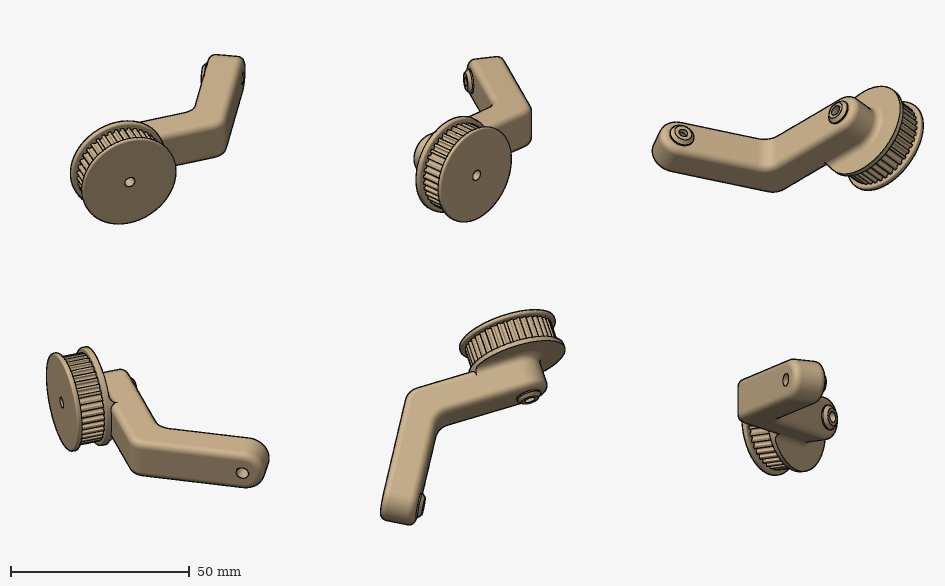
import cadquery as cq
import math

ARM_WIDTH = 12.0
ARM_THICKNESS = 10.0
EDGE_RADIUS = 2.0
BEND_RADIUS = 5.0
BEND_ANGLE = 60
LOWER_LEG = 26.5
UPPER_LEG = 25.5

BOSS_DIAMETER = 7.0
BOSS_TOP_DIAMETER = 5.0
BOSS_HEIGHT = 1.4
BOSS_CONE_HEIGHT = (BOSS_DIAMETER - BOSS_TOP_DIAMETER) / 2
AXLE_HOLE_DIAMETER = 3.0
TIP_BOSS_HOLE_DIAMETER = 2.5
TIP_ARM_HOLE_DIAMETER = 3.5

FLANGE_DIAMETER = 28.0
FLANGE_THICKNESS = 1.6
OUTER_FLANGE_THICKNESS = 1.5
FLANGE_ROUNDING = 0.5
PULLEY_LENGTH = 10.0
TOOTHED_DIAMETER = 25.2
TOOTH_COUNT = 40
GROOVE_RADIUS = 0.6
GROOVE_DEPTH = 0.8
GROOVE_LIP_RADIUS = 0.1

FULL_TURN = 360

PULLEY_START = ARM_THICKNESS
END_RADIUS = ARM_WIDTH / 2
LEG_TURN = math.radians(BEND_ANGLE)
UPPER_DIRECTION = (-math.sin(LEG_TURN), math.cos(LEG_TURN))
OUTWARD_NORMAL = (math.cos(LEG_TURN), math.sin(LEG_TURN))


def upper_leg_point(along, outward):
    """XY position measured from the sharp inner corner along and across the upper leg."""
    return (
        along * UPPER_DIRECTION[0] + outward * OUTWARD_NORMAL[0],
        LOWER_LEG + along * UPPER_DIRECTION[1] + outward * OUTWARD_NORMAL[1],
    )


def axis_x(x):
    """YZ workplane at position x along the pulley axis, extruding towards +X."""
    return cq.Workplane("YZ", origin=(x, 0, 0))


def tip_plane():
    """Plane on the inner face of the upper leg at the tip axis, facing into the arm."""
    x, y = upper_leg_point(UPPER_LEG, 0)
    return cq.Plane(origin=(x, y, 0), xDir=(*UPPER_DIRECTION, 0), normal=(*OUTWARD_NORMAL, 0))


def rounded_end_cutter(plane):
    """Material outside a semicircular arm end; local +X points off the end."""
    block = (
        cq.Workplane(plane)
        .center(END_RADIUS, 0)
        .rect(ARM_WIDTH, 2 * ARM_WIDTH)
        .extrude(ARM_THICKNESS)
    )
    return block.cut(cq.Workplane(plane).circle(END_RADIUS).extrude(ARM_THICKNESS))


def make_arm():
    """Bent bar with semicircular ends and rounded rims."""
    corner_shift = ARM_THICKNESS * math.tan(LEG_TURN / 2)
    profile = [
        (0, -END_RADIUS),
        (ARM_THICKNESS, -END_RADIUS),
        (ARM_THICKNESS, LOWER_LEG + corner_shift),
        upper_leg_point(UPPER_LEG + END_RADIUS, ARM_THICKNESS),
        upper_leg_point(UPPER_LEG + END_RADIUS, 0),
        (0, LOWER_LEG),
    ]
    arm = cq.Workplane("XY").polyline(profile).close().extrude(ARM_WIDTH / 2, both=True)
    for corner in (profile[2], profile[5]):
        arm = arm.edges(cq.selectors.NearestToPointSelector((*corner, 0))).fillet(BEND_RADIUS)
    lower_end = cq.Plane(origin=(0, 0, 0), xDir=(0, -1, 0), normal=(1, 0, 0))
    arm = arm.cut(rounded_end_cutter(lower_end)).cut(rounded_end_cutter(tip_plane()))
    for face_x in (0, ARM_THICKNESS):
        rim_point = (face_x, LOWER_LEG / 2, END_RADIUS)
        arm = arm.edges(cq.selectors.NearestToPointSelector(rim_point)).fillet(EDGE_RADIUS)
    return arm


def make_boss(plane):
    """Cylinder topped by a cone, rising against the plane normal."""
    shoulder = BOSS_HEIGHT - BOSS_CONE_HEIGHT
    half_profile = [
        (0, EDGE_RADIUS),
        (BOSS_DIAMETER / 2, EDGE_RADIUS),
        (BOSS_DIAMETER / 2, -shoulder),
        (BOSS_TOP_DIAMETER / 2, -BOSS_HEIGHT),
        (0, -BOSS_HEIGHT),
    ]
    profile_plane = cq.Plane(origin=plane.origin, xDir=plane.xDir, normal=-plane.yDir)
    return cq.Workplane(profile_plane).polyline(half_profile).close().revolve(FULL_TURN, (0, 0), (0, 1))


def make_flared_flange():
    """Inner flange with the concave flare that joins it to the arm."""
    reach = FLANGE_DIAMETER
    plate = axis_x(PULLEY_START).rect(2 * reach, 2 * reach).extrude(FLANGE_THICKNESS)
    foot_height = ARM_THICKNESS / 2
    foot = (
        axis_x(PULLEY_START - foot_height)
        .moveTo(reach, END_RADIUS)
        .lineTo(0, END_RADIUS)
        .threePointArc((-END_RADIUS, 0), (0, -END_RADIUS))
        .lineTo(reach, -END_RADIUS)
        .close()
        .extrude(foot_height)
    )
    joint = cq.selectors.BoxSelector(
        (PULLEY_START - EDGE_RADIUS, -reach / 2, -reach / 2),
        (PULLEY_START + FLANGE_THICKNESS / 2, 0.75 * reach, reach / 2),
    )
    flared = plate.union(foot).edges(joint).fillet(EDGE_RADIUS)
    disc = (
        axis_x(PULLEY_START - foot_height)
        .circle(FLANGE_DIAMETER / 2)
        .extrude(foot_height + FLANGE_THICKNESS)
        .faces(">X")
        .edges()
        .fillet(FLANGE_ROUNDING)
    )
    return flared.intersect(disc)


def make_toothed_rim():
    """Belt rim with round-bottomed grooves whose mouths are rounded over."""
    rim = axis_x(PULLEY_START).circle(TOOTHED_DIAMETER / 2).extrude(PULLEY_LENGTH)
    groove_centre = TOOTHED_DIAMETER / 2 - GROOVE_DEPTH + GROOVE_RADIUS
    grooves = (
        axis_x(PULLEY_START)
        .polarArray(groove_centre, 0, FULL_TURN, TOOTH_COUNT)
        .circle(GROOVE_RADIUS)
        .extrude(PULLEY_LENGTH)
    )
    return rim.cut(grooves).edges("|X").fillet(GROOVE_LIP_RADIUS)


def make_outer_flange():
    """Flange at the free end of the pulley, rounded on both edges."""
    start = PULLEY_START + PULLEY_LENGTH - OUTER_FLANGE_THICKNESS
    flange = axis_x(start).circle(FLANGE_DIAMETER / 2).extrude(OUTER_FLANGE_THICKNESS)
    return flange.edges().fillet(FLANGE_ROUNDING)


def make_axle_hole():
    """Bore along the pulley axis through boss, arm and pulley."""
    depth = BOSS_HEIGHT + ARM_THICKNESS + PULLEY_LENGTH
    return axis_x(-BOSS_HEIGHT).circle(AXLE_HOLE_DIAMETER / 2).extrude(depth)


def make_tip_hole():
    """Stepped bore: narrow in the tip boss, wider through the arm."""
    base = cq.Workplane(tip_plane())
    boss_hole = base.circle(TIP_BOSS_HOLE_DIAMETER / 2).extrude(-BOSS_HEIGHT)
    arm_hole = base.circle(TIP_ARM_HOLE_DIAMETER / 2).extrude(ARM_THICKNESS)
    return boss_hole.union(arm_hole)


result = (
    make_arm()
    .union(make_boss(axis_x(0).plane))
    .union(make_boss(tip_plane()))
    .union(make_flared_flange())
    .union(make_toothed_rim())
    .union(make_outer_flange())
    .cut(make_axle_hole())
    .cut(make_tip_hole())
)